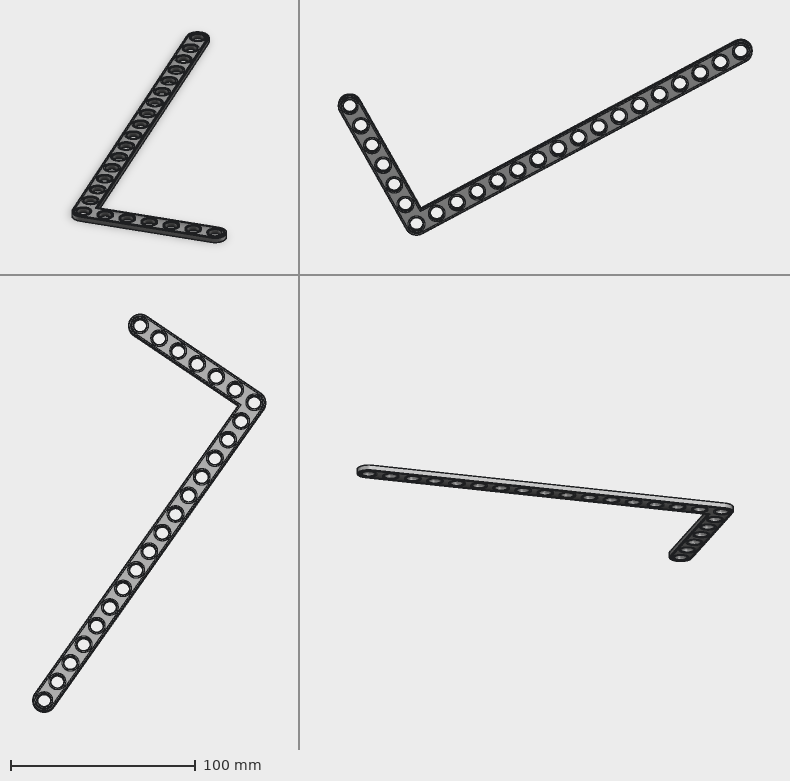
import cadquery as cq

overall_length = 212.5
long_arm_holes = 17
short_arm_holes = 7
thickness = 3.2
hole_diameter = 7.0
boss_diameter = 9.1
rim_width = 1.0
recess_depth = 0.25
edge_chamfer = 0.32

pitch = overall_length / long_arm_holes
end_radius = pitch / 2

long_arm_reach = (long_arm_holes - 1) * pitch
short_arm_reach = (short_arm_holes - 1) * pitch
half_thickness = thickness / 2

long_arm_centres = [(0, i * pitch) for i in range(long_arm_holes)]
short_arm_centres = [(i * pitch, 0) for i in range(1, short_arm_holes)]
hole_centres = long_arm_centres + short_arm_centres


def l_shape(half_width, bottom, height):
    """L with rounded ends and a rounded outer corner, half_width either side of the hole rows."""
    corner_offset = half_width * 0.5**0.5
    return (
        cq.Workplane("XY")
        .workplane(offset=bottom)
        .moveTo(0, -half_width)
        .lineTo(short_arm_reach, -half_width)
        .threePointArc((short_arm_reach + half_width, 0), (short_arm_reach, half_width))
        .lineTo(half_width, half_width)
        .lineTo(half_width, long_arm_reach)
        .threePointArc((0, long_arm_reach + half_width), (-half_width, long_arm_reach))
        .lineTo(-half_width, 0)
        .threePointArc((-corner_offset, -corner_offset), (0, -half_width))
        .close()
        .extrude(height)
    )


def cylinders(diameter, bottom, height):
    """One cylinder at every hole centre."""
    return (
        cq.Workplane("XY")
        .workplane(offset=bottom)
        .pushPoints(hole_centres)
        .circle(diameter / 2)
        .extrude(height)
    )


def drilled_bar():
    """L-shaped bar with through holes, chamfered at its outer edges and at the hole mouths."""
    bar = l_shape(end_radius, -half_thickness, thickness)
    bar = bar.cut(cylinders(hole_diameter, -half_thickness, thickness))
    return bar.faces("|Z").edges().chamfer(edge_chamfer)


def face_recess(bottom):
    """Shallow recess that leaves a rim along the outline and a round boss at every hole."""
    pocket = l_shape(end_radius - rim_width, bottom, recess_depth)
    return pocket.cut(cylinders(boss_diameter, bottom, recess_depth))


top_recess = face_recess(half_thickness - recess_depth)
bottom_recess = face_recess(-half_thickness)

result = drilled_bar().cut(top_recess).cut(bottom_recess)